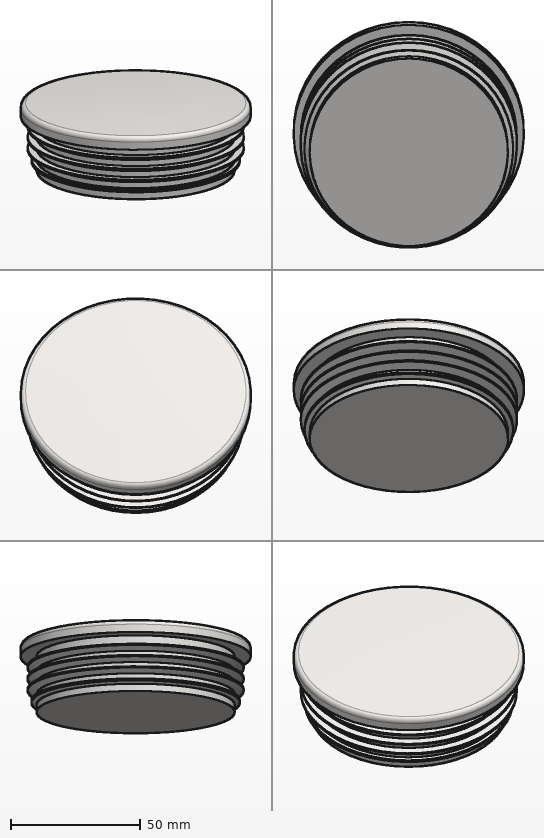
import cadquery as cq
import math

cap_diameter = 89.1
shank_diameter = 76.7
shank_length = 22.0
rim_height = 5.0
dome_rise = 1.1
rim_fillet = 2.0

grip_fin_diameter = 83.7
grip_fin_edge = 0.5
grip_fin_height = 2.05
guide_fin_diameter = 80.7
guide_fin_edge = 0.8
guide_fin_height = 1.7
guide_fin_top = 4.55
fin_pitch = 4.47
grip_fin_count = 3

cap_radius = cap_diameter / 2
shank_radius = shank_diameter / 2
rim_top = shank_length + rim_height
apex = rim_top + dome_rise


def make_cap():
    """Disc with a shallow spherical top and a rounded rim."""
    dome_radius = (cap_radius**2 + dome_rise**2) / (2 * dome_rise)
    dome_centre_z = apex - dome_radius
    rim_centre_r = cap_radius - rim_fillet
    rim_centre_z = dome_centre_z + math.sqrt((dome_radius - rim_fillet) ** 2 - rim_centre_r**2)
    tilt = math.asin(rim_centre_r / (dome_radius - rim_fillet))
    dome_edge = (dome_radius * math.sin(tilt), dome_centre_z + dome_radius * math.cos(tilt))
    profile = (
        cq.Workplane("XZ")
        .moveTo(0, shank_length)
        .lineTo(cap_radius, shank_length)
        .lineTo(cap_radius, rim_centre_z)
        .radiusArc(dome_edge, -rim_fillet)
        .radiusArc((0, apex), -dome_radius)
        .close()
    )
    return profile.revolve(360, (0, 0, 0), (0, 1, 0))


def make_fin(diameter, top, edge, height):
    """Ring around the shank: flat top, upright edge and sloped underside."""
    fin_radius = diameter / 2
    profile = (
        cq.Workplane("XZ")
        .moveTo(0, top)
        .lineTo(fin_radius, top)
        .lineTo(fin_radius, top - edge)
        .lineTo(shank_radius, top - height)
        .lineTo(0, top - height)
        .close()
    )
    return profile.revolve(360, (0, 0, 0), (0, 1, 0))


shank = cq.Workplane("XY").circle(shank_radius).extrude(shank_length)
result = shank.union(make_cap())
result = result.union(make_fin(guide_fin_diameter, guide_fin_top, guide_fin_edge, guide_fin_height))
for fin_number in range(1, grip_fin_count + 1):
    fin_top = guide_fin_top + fin_number * fin_pitch
    result = result.union(make_fin(grip_fin_diameter, fin_top, grip_fin_edge, grip_fin_height))